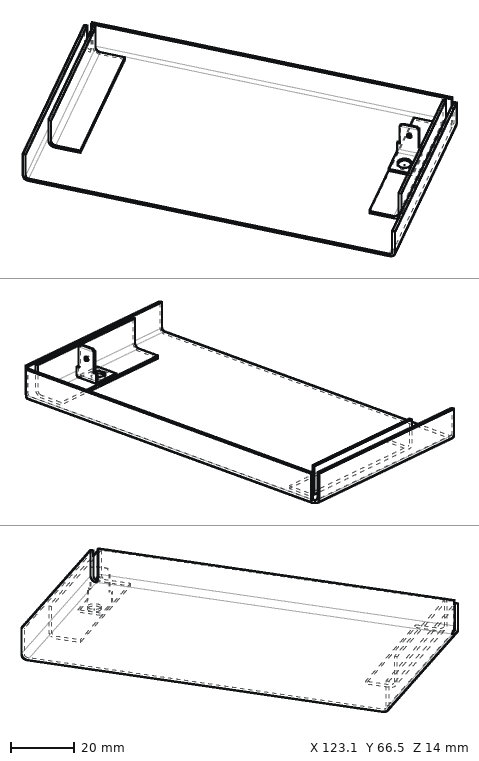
import cadquery as cq

TRAY_LENGTH = 123.1
TRAY_DEPTH = 66.5
TRAY_HEIGHT = 10.8
TRAY_SHEET = 1.0
TRAY_BEND = 2.0
TRAY_BACK = TRAY_DEPTH / 2

BRACKET_SHEET = 0.92
BRACKET_BEND = 2.5
BRACKET_INSET = 3.2
BRACKET_FOOT = 10.6
BRACKET_LENGTH = 46.7
BRACKET_TOP = 12.0
BRACKET_OUTER_X = TRAY_LENGTH / 2 - BRACKET_INSET
BRACKET_BACK = TRAY_BACK - BRACKET_INSET
FOOT_TOP = TRAY_SHEET + BRACKET_SHEET

TERMINAL_SHEET = 0.8
TERMINAL_BEND = 2 * TERMINAL_SHEET
TERMINAL_WIDTH = 8.0
TERMINAL_DEPTH = 9.8
TERMINAL_TOP = 14.0
TERMINAL_BACK = TRAY_BACK - 20.0
TERMINAL_X = BRACKET_OUTER_X - BRACKET_FOOT + TERMINAL_WIDTH / 2
BLADE_WIDTH = 6.3
SHOULDER_Z = 6.0
TIP_CHAMFER = 0.8
TIP_BEVEL = 0.2
BLADE_HOLE_DIAMETER = 1.5
BLADE_HOLE_Z = 10.0
MOUNT_HOLE_DIAMETER = 4.4
MOUNT_HOLE_Y = TRAY_BACK - 25.7
PILOT_HOLE_DIAMETER = 0.1


def angle_profile(plane, foot, height, sheet, bend):
    """L section with a rounded bend: corner at the origin, foot along local +x, upright along +y."""
    return (
        cq.Workplane(plane)
        .moveTo(foot, 0)
        .lineTo(bend, 0)
        .radiusArc((0, bend), bend)
        .lineTo(0, height)
        .lineTo(sheet, height)
        .lineTo(sheet, bend)
        .radiusArc((bend, sheet), -(bend - sheet))
        .lineTo(foot, sheet)
        .close()
    )


def lengthwise_plane(x, y, z, foot_direction):
    """Plane whose normal runs along Y, with local x pointing to foot_direction (+1 or -1) along X."""
    return cq.Plane(origin=(x, y, z), xDir=(foot_direction, 0, 0), normal=(0, -foot_direction, 0))


def crosswise_plane(x, y, z):
    """Plane whose normal runs along -X, with local x pointing to the front (-Y)."""
    return cq.Plane(origin=(x, y, z), xDir=(0, -1, 0), normal=(-1, 0, 0))


def make_tray():
    """Floor with three bent-up walls, open at the front and relieved at both back corners."""
    half_length = TRAY_LENGTH / 2
    wall_back = TRAY_BACK - TRAY_BEND
    side_depth = TRAY_DEPTH - TRAY_BEND
    back_length = TRAY_LENGTH - 2 * TRAY_BEND

    left_plane = lengthwise_plane(-half_length, wall_back, 0, 1)
    left = angle_profile(left_plane, half_length, TRAY_HEIGHT, TRAY_SHEET, TRAY_BEND).extrude(side_depth)
    right = left.mirror("YZ")
    back_plane = crosswise_plane(back_length / 2, TRAY_BACK, 0)
    back = angle_profile(back_plane, TRAY_DEPTH, TRAY_HEIGHT, TRAY_SHEET, TRAY_BEND).extrude(back_length)
    return left.union(right).union(back).clean()


def make_bracket(side):
    """Angle at the left (side = -1) or right (side = +1) end of the tray."""
    plane = lengthwise_plane(side * BRACKET_OUTER_X, BRACKET_BACK, TRAY_SHEET, -side)
    return angle_profile(plane, BRACKET_FOOT, BRACKET_TOP - TRAY_SHEET, BRACKET_SHEET, BRACKET_BEND).extrude(
        -side * BRACKET_LENGTH
    )


def vertical_hole(diameter, bottom, depth):
    """Cutter on the axis of the terminal's mounting hole."""
    return (
        cq.Workplane("XY", origin=(TERMINAL_X, MOUNT_HOLE_Y, bottom)).circle(diameter / 2).extrude(depth)
    )


def make_terminal():
    """Bent connector: drilled base, wide shoulders and a narrower pierced blade with a thinned tip."""
    height = TERMINAL_TOP - FOOT_TOP
    half_width = TERMINAL_WIDTH / 2
    half_blade = BLADE_WIDTH / 2
    tip_z = TERMINAL_TOP - TIP_CHAMFER

    side_plane = crosswise_plane(TERMINAL_X + half_width, TERMINAL_BACK, FOOT_TOP)
    body = angle_profile(side_plane, TERMINAL_DEPTH, height, TERMINAL_SHEET, TERMINAL_BEND).extrude(
        TERMINAL_WIDTH
    )
    for face, inward in ((0, TIP_BEVEL), (TERMINAL_SHEET, -TIP_BEVEL)):
        bevel = (
            cq.Workplane(side_plane)
            .moveTo(face, height)
            .lineTo(face + inward, height)
            .lineTo(face, height - TIP_CHAMFER)
            .close()
            .extrude(TERMINAL_WIDTH)
        )
        body = body.cut(bevel)

    front_outline = (
        cq.Workplane("XZ", origin=(TERMINAL_X, TERMINAL_BACK, 0))
        .moveTo(-half_width, FOOT_TOP)
        .lineTo(half_width, FOOT_TOP)
        .lineTo(half_width, SHOULDER_Z)
        .lineTo(half_blade, SHOULDER_Z)
        .lineTo(half_blade, tip_z)
        .lineTo(half_blade - TIP_CHAMFER, TERMINAL_TOP)
        .lineTo(-half_blade + TIP_CHAMFER, TERMINAL_TOP)
        .lineTo(-half_blade, tip_z)
        .lineTo(-half_blade, SHOULDER_Z)
        .lineTo(-half_width, SHOULDER_Z)
        .close()
        .extrude(TERMINAL_DEPTH)
    )
    blade_hole = (
        cq.Workplane("XZ", origin=(TERMINAL_X, TERMINAL_BACK, BLADE_HOLE_Z))
        .circle(BLADE_HOLE_DIAMETER / 2)
        .extrude(TERMINAL_SHEET)
    )
    mount_hole = vertical_hole(MOUNT_HOLE_DIAMETER, FOOT_TOP, TERMINAL_SHEET)
    return body.intersect(front_outline).cut(blade_hole).cut(mount_hole)


tray = make_tray()
brackets = {side: make_bracket(side) for side in (-1, 1)}
brackets[1] = brackets[1].cut(vertical_hole(PILOT_HOLE_DIAMETER, TRAY_SHEET, BRACKET_SHEET))
terminal = make_terminal()

result = cq.Compound.makeCompound(
    [tray.val(), *[bracket.val() for bracket in brackets.values()], terminal.val()]
)